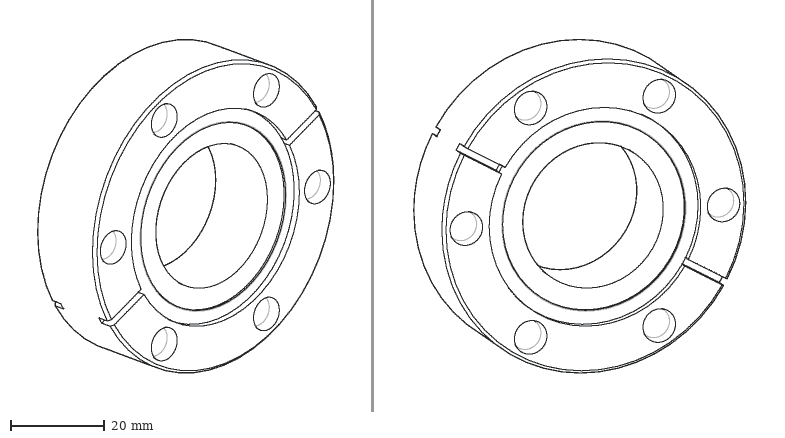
import cadquery as cq
import math

thickness = 19.1
outer_radius = 34.7
bore_radius = 16.0
rim_chamfer = 0.7

recess_radius = 24.1
recess_depth = 1.65
knife_outer_radius = 21.0
knife_depth = 0.7
knife_inner_radius = 20.8
floor_depth = 1.2

bolt_count = 6
bolt_circle_radius = 29.3
hole_diameter = 6.7
entry_diameter = 7.4
entry_depth = 2.85

slot_width = 1.6
slot_depth = 3.4
slot_angle = 30.0

half_thickness = thickness / 2


def make_body():
    """Revolve half of the section about X and mirror it in the mid-plane."""
    half_section = (
        cq.Workplane("XY")
        .moveTo(0, bore_radius)
        .lineTo(half_thickness - floor_depth, bore_radius)
        .lineTo(half_thickness - floor_depth, knife_inner_radius)
        .lineTo(half_thickness - knife_depth, knife_inner_radius)
        .lineTo(half_thickness - knife_depth, knife_outer_radius)
        .lineTo(half_thickness - recess_depth, recess_radius)
        .lineTo(half_thickness, recess_radius)
        .lineTo(half_thickness, outer_radius - rim_chamfer)
        .lineTo(half_thickness - rim_chamfer, outer_radius)
        .lineTo(0, outer_radius)
        .close()
    )
    half_body = half_section.revolve(360, (0, 0, 0), (1, 0, 0))
    return half_body.union(half_body.mirror("YZ"))


def make_bolt_hole():
    """Cutter for one bolt hole along X, revolved from half of its section."""
    half_cutter = (
        cq.Workplane("XY")
        .lineTo(0, hole_diameter / 2)
        .lineTo(half_thickness - entry_depth, hole_diameter / 2)
        .lineTo(half_thickness, entry_diameter / 2)
        .lineTo(half_thickness, 0)
        .close()
        .revolve(360, (0, 0, 0), (1, 0, 0))
    )
    cutter = half_cutter.union(half_cutter.mirror("YZ"))
    return cutter.translate((0, bolt_circle_radius, 0))


def make_slot(face_side, angle):
    """Radial slot from the recess wall out through the rim of one face."""
    slot_start = math.sqrt(recess_radius**2 - (slot_width / 2) ** 2)
    slot_length = outer_radius - slot_start + rim_chamfer
    return (
        cq.Workplane("XY")
        .box(slot_depth, slot_length, slot_width)
        .translate((
            face_side * (half_thickness - slot_depth / 2),
            slot_start + slot_length / 2,
            0,
        ))
        .rotate((0, 0, 0), (1, 0, 0), angle)
    )


result = make_body()

bolt_hole = make_bolt_hole()
for bolt_index in range(bolt_count):
    bolt_angle = bolt_index * 360 / bolt_count
    result = result.cut(bolt_hole.rotate((0, 0, 0), (1, 0, 0), bolt_angle))

for face_side in (-1, 1):
    for angle in (slot_angle, slot_angle + 180):
        result = result.cut(make_slot(face_side, angle))